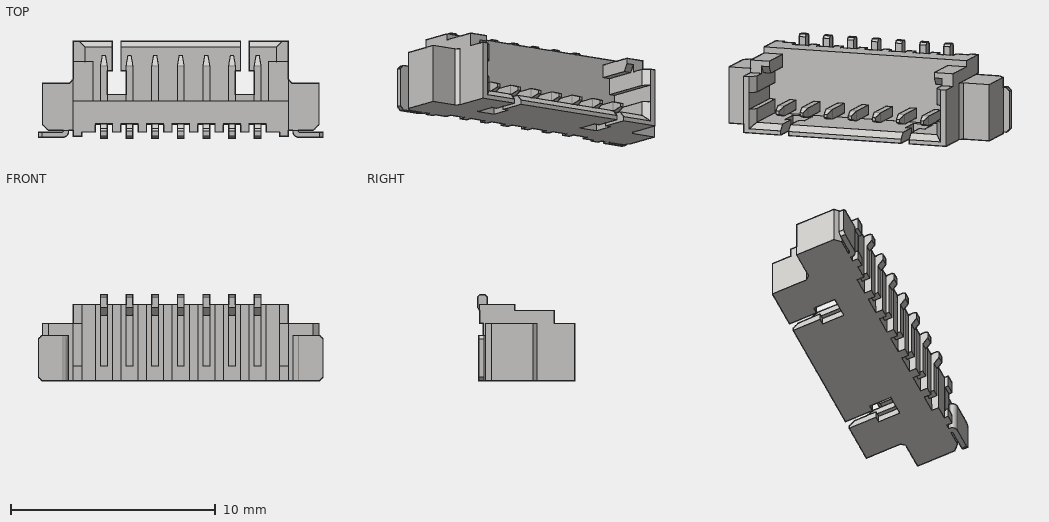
import cadquery as cq


PIN_COUNT = 7
PITCH = 1.25
PIN_WIDTH = 0.33

HOUSING_LENGTH = 10.5
HALF_LENGTH = HOUSING_LENGTH / 2
SIDE_WALL_HEIGHT = 2.8
LIP_HEIGHT = 3.43
BACK_HEIGHT = 3.73
LIP_START = 1.0
CAVITY_DEPTH = 2.93
BACK_DEPTH = 4.44

WALL_THICKNESS = 0.58
CAVITY_HALF = HALF_LENGTH - WALL_THICKNESS
LIP_THICKNESS = 0.97
LIP_LEAD_DEPTH = 0.22
LIP_LEAD_HEIGHT = 0.36
FLOOR_HEIGHT = 0.5
MOUTH_CHAMFER = 0.29
GUIDE_BOTTOM = 1.18
GUIDE_TOP = 2.0

SLOT_X = (PIN_COUNT / 2 - 1) * PITCH
SLOT_WIDTH = 0.41
WINDOW_WIDTH = 1.0
WINDOW_FRONT = 1.46
WINDOW_BACK = 2.6

RECESS_WIDTH = 0.84
RECESS_DEPTH_TOP = 4.03
RECESS_DEPTH_BOTTOM = 4.08

PAD_WIDTH = 0.43
PAD_DEPTH = 4.65
LOWER_PAD_HEIGHT = 0.72
PAD_STRIP_DEPTH = 4.48

EAR_HALF = 6.75
EAR_HEIGHT = SIDE_WALL_HEIGHT
EAR_FRONT = 2.05
EAR_BACK = 4.36
EAR_CHAMFER = 0.29
EAR_GUSSET_WIDTH = 0.16
EAR_GUSSET_DEPTH = 0.2

PIN_TIP_DEPTH = 0.71
PIN_SHOULDER_DEPTH = 1.21
PIN_TIP_SIZE = 0.16
STEM_DEPTH = 4.48
STEM_BOTTOM = LOWER_PAD_HEIGHT
TAIL_TOP = 4.2
TAIL_FRONT = 4.27
TAIL_BACK = 4.75
PIN_THICKNESS = TAIL_BACK - TAIL_FRONT
TAIL_CHAMFER = 0.11
JOG_BOTTOM = 3.19
JOG_TOP = 3.58

NAIL_HALF = 6.95
NAIL_HEIGHT = 2.22
NAIL_BACK = 4.70
NAIL_THICKNESS = 0.26
NAIL_INNER_X = 5.47
NAIL_OUTER_RADIUS = 0.28
NAIL_INNER_RADIUS = 0.07
NAIL_CHAMFER = 0.18
NAIL_EMBED = 0.3


def block(x_range, depth_range, z_range):
    """Axis-aligned box given by its limits in X, depth behind the mouth, and Z."""
    (x0, x1), (d0, d1), (z0, z1) = x_range, depth_range, z_range
    return cq.Workplane("XY").box(x1 - x0, d1 - d0, z1 - z0, centered=False).translate((x0, -d1, z0))


def plan_prism(points, z0, z1):
    """Extrude an outline of (x, depth) points from z0 to z1."""
    outline = [(x, -depth) for x, depth in points]
    return cq.Workplane("XY").workplane(offset=z0).polyline(outline).close().extrude(z1 - z0)


def side_prism(points, x0, x1):
    """Extrude an outline of (depth, z) points from x0 to x1."""
    outline = [(-depth, z) for depth, z in points]
    return cq.Workplane("YZ").workplane(offset=x0).polyline(outline).close().extrude(x1 - x0)


def both_ends(shape):
    """Join a shape at the +X end with its mirror image at the -X end."""
    return shape.union(shape.mirror("YZ"))


def make_shell():
    """Floor, side walls and back block, with the mouth edges chamfered."""
    mouth_half = CAVITY_HALF + MOUTH_CHAMFER
    shell = block((-HALF_LENGTH, HALF_LENGTH), (0, BACK_DEPTH), (0, SIDE_WALL_HEIGHT))
    shell = shell.cut(block((-CAVITY_HALF, CAVITY_HALF), (0, CAVITY_DEPTH), (FLOOR_HEIGHT, SIDE_WALL_HEIGHT)))

    wide_bottom = FLOOR_HEIGHT - MOUTH_CHAMFER
    flare = (
        cq.Workplane("XZ")
        .polyline([(-mouth_half, wide_bottom), (mouth_half, wide_bottom),
                   (mouth_half, SIDE_WALL_HEIGHT), (-mouth_half, SIDE_WALL_HEIGHT)])
        .close()
        .workplane(offset=MOUTH_CHAMFER)
        .polyline([(-CAVITY_HALF, FLOOR_HEIGHT), (CAVITY_HALF, FLOOR_HEIGHT),
                   (CAVITY_HALF, SIDE_WALL_HEIGHT), (-CAVITY_HALF, SIDE_WALL_HEIGHT)])
        .close()
        .loft(ruled=True)
    )
    shell = shell.cut(flare)

    shell = shell.cut(block((-mouth_half, mouth_half), (0, CAVITY_DEPTH), (GUIDE_BOTTOM, GUIDE_TOP)))
    back = block((-HALF_LENGTH, HALF_LENGTH), (CAVITY_DEPTH, BACK_DEPTH), (0, BACK_HEIGHT))
    return shell.union(back)


def make_lips():
    """Raised strips on the side walls that overhang the cavity."""
    profile = [
        (LIP_START, LIP_HEIGHT),
        (CAVITY_DEPTH, LIP_HEIGHT),
        (CAVITY_DEPTH, SIDE_WALL_HEIGHT),
        (LIP_START + LIP_LEAD_DEPTH, SIDE_WALL_HEIGHT),
        (LIP_START, SIDE_WALL_HEIGHT + LIP_LEAD_HEIGHT),
    ]
    overhang = side_prism(profile, HALF_LENGTH - LIP_THICKNESS, CAVITY_HALF)
    top = block((CAVITY_HALF, HALF_LENGTH), (LIP_START, CAVITY_DEPTH), (SIDE_WALL_HEIGHT, LIP_HEIGHT))
    return both_ends(top.union(overhang))


def make_floor_slot():
    """Cutter for one slot through the floor, open at the mouth."""
    slot = block((SLOT_X - SLOT_WIDTH / 2, SLOT_X + SLOT_WIDTH / 2), (0, WINDOW_FRONT), (0, FLOOR_HEIGHT))
    window = block(
        (SLOT_X - WINDOW_WIDTH / 2, SLOT_X + WINDOW_WIDTH / 2), (WINDOW_FRONT, WINDOW_BACK), (0, FLOOR_HEIGHT)
    )
    return slot.union(window)


def make_tail_recess(x):
    """Cutter for the recess behind one pin; its inner face is slightly drafted."""
    profile = [
        (BACK_DEPTH, 0),
        (RECESS_DEPTH_BOTTOM, 0),
        (RECESS_DEPTH_TOP, BACK_HEIGHT),
        (BACK_DEPTH, BACK_HEIGHT),
    ]
    return side_prism(profile, x - RECESS_WIDTH / 2, x + RECESS_WIDTH / 2)


def make_pads():
    """Upper and lower stand-off pads at both ends of the back face, joined by a shallow strip."""
    x_range = (HALF_LENGTH - PAD_WIDTH, HALF_LENGTH)
    depth_range = (BACK_DEPTH, PAD_DEPTH)
    upper = block(x_range, depth_range, (SIDE_WALL_HEIGHT, BACK_HEIGHT))
    lower = block(x_range, depth_range, (0, LOWER_PAD_HEIGHT))
    strip = block(x_range, (BACK_DEPTH, PAD_STRIP_DEPTH), (0, BACK_HEIGHT))
    return both_ends(upper.union(lower).union(strip))


def make_ears():
    """Ears outside the side walls, each with a small gusset and a chamfered corner."""
    outline = [
        (HALF_LENGTH, EAR_FRONT - EAR_GUSSET_DEPTH),
        (HALF_LENGTH + EAR_GUSSET_WIDTH, EAR_FRONT),
        (EAR_HALF, EAR_FRONT),
        (EAR_HALF, EAR_BACK - EAR_CHAMFER),
        (EAR_HALF - EAR_CHAMFER, EAR_BACK),
        (HALF_LENGTH, EAR_BACK),
    ]
    return both_ends(plan_prism(outline, 0, EAR_HEIGHT))


def make_pin(x):
    """One pin: pointed contact in the cavity, upright stem in the recess, jogged tail."""
    contact = block(
        (x - PIN_WIDTH / 2, x + PIN_WIDTH / 2),
        (PIN_SHOULDER_DEPTH, STEM_DEPTH),
        (STEM_BOTTOM, STEM_BOTTOM + PIN_THICKNESS),
    )
    tip = (
        cq.Workplane("XZ", origin=(x, -PIN_TIP_DEPTH, STEM_BOTTOM + PIN_THICKNESS / 2))
        .rect(PIN_TIP_SIZE, PIN_TIP_SIZE)
        .workplane(offset=PIN_SHOULDER_DEPTH - PIN_TIP_DEPTH)
        .rect(PIN_WIDTH, PIN_THICKNESS)
        .loft(ruled=True)
    )
    stem_front = STEM_DEPTH - PIN_THICKNESS
    profile = [
        (stem_front, STEM_BOTTOM),
        (STEM_DEPTH, STEM_BOTTOM),
        (STEM_DEPTH, JOG_BOTTOM),
        (TAIL_BACK, JOG_TOP),
        (TAIL_BACK, TAIL_TOP - TAIL_CHAMFER),
        (TAIL_BACK - TAIL_CHAMFER, TAIL_TOP),
        (TAIL_FRONT + TAIL_CHAMFER, TAIL_TOP),
        (TAIL_FRONT, TAIL_TOP - TAIL_CHAMFER),
        (TAIL_FRONT, JOG_TOP),
        (stem_front, JOG_BOTTOM),
    ]
    tail = side_prism(profile, x - PIN_WIDTH / 2, x + PIN_WIDTH / 2)
    return contact.union(tip).union(tail)


def make_nails():
    """L-shaped solder nails: a leg set into each ear, bent out to a flat plate."""
    plate_front = NAIL_BACK - NAIL_THICKNESS
    plate = block((NAIL_INNER_X, NAIL_HALF), (plate_front, NAIL_BACK), (0, NAIL_HEIGHT))
    plate = plate.edges("|Y and >X").chamfer(NAIL_CHAMFER)
    leg = block(
        (NAIL_INNER_X, NAIL_INNER_X + NAIL_THICKNESS), (EAR_BACK - NAIL_EMBED, NAIL_BACK), (0, NAIL_HEIGHT)
    )
    nail = plate.union(leg)
    mid_height = NAIL_HEIGHT / 2
    outer_bend = cq.selectors.NearestToPointSelector((NAIL_INNER_X, -NAIL_BACK, mid_height))
    nail = nail.edges(outer_bend).fillet(NAIL_OUTER_RADIUS)
    leg_outer_x = NAIL_INNER_X + NAIL_THICKNESS
    inner_bend = cq.selectors.NearestToPointSelector((leg_outer_x, -plate_front, mid_height))
    nail = nail.edges(inner_bend).fillet(NAIL_INNER_RADIUS)
    return both_ends(nail)


pin_positions = [(i - (PIN_COUNT - 1) / 2) * PITCH for i in range(PIN_COUNT)]

result = make_shell().union(make_lips()).union(make_pads()).union(make_ears())
result = result.cut(both_ends(make_floor_slot()))
for pin_x in pin_positions:
    result = result.cut(make_tail_recess(pin_x))
for pin_x in pin_positions:
    result = result.union(make_pin(pin_x))
result = result.union(make_nails())